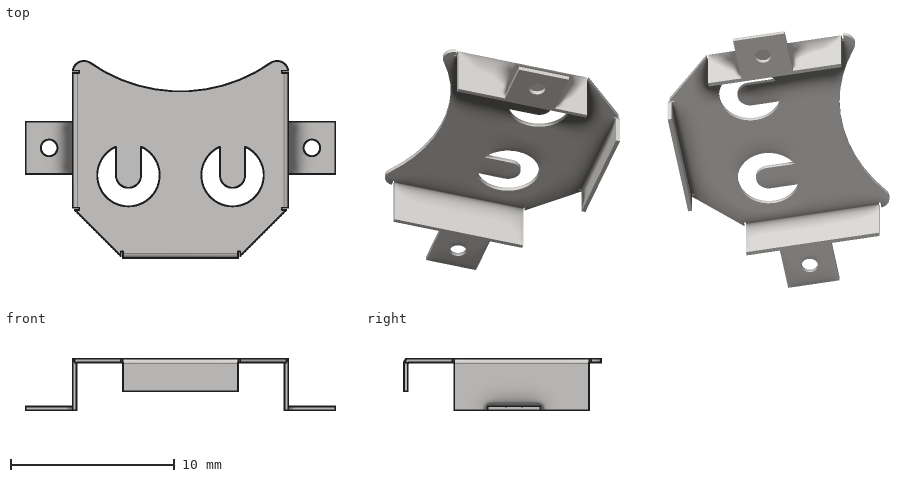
import cadquery as cq
import math


sheet = 0.25
bend_outer_radius = 0.30
bend_inner_radius = bend_outer_radius - sheet
height = 3.17

plate_width = 13.2
half_width = plate_width / 2
plate_depth = 12.06
corner_cut = 3.08
ear_radius = 0.70
valley_y = 10.2

side_flange_start = corner_cut
side_flange_length = 8.25
front_flange_width = plate_width - 2 * corner_cut
front_flange_height = 2.0
relief_width = sheet / 2
relief_depth = 0.4

overall_width = 18.92
tab_length = (overall_width - plate_width) / 2
tab_width = 3.2
tab_center_y = 6.74
tab_hole_diameter = 1.0

window_radius = 1.9
window_x = 3.18
window_y = 5.07
tongue_width = 1.55


def make_plate():
    """Flat top plate with cut front corners, rear ears and a concave rear edge."""
    ear_x = half_width - ear_radius
    ear_y = plate_depth - ear_radius
    rise = ear_y - valley_y
    valley_radius = (ear_x**2 + rise**2 - ear_radius**2) / (2 * (ear_radius + rise))
    valley_center_y = valley_y + valley_radius
    tangent_share = ear_radius / (ear_radius + valley_radius)
    tangent_x = ear_x * (1 - tangent_share)
    tangent_y = ear_y + (valley_center_y - ear_y) * tangent_share

    tangent_angle = math.atan2(tangent_y - ear_y, tangent_x - ear_x)
    ear_mid_x = ear_x + ear_radius * math.cos(tangent_angle / 2)
    ear_mid_y = ear_y + ear_radius * math.sin(tangent_angle / 2)

    return (
        cq.Workplane("XY")
        .workplane(offset=height - sheet)
        .moveTo(front_flange_width / 2, 0)
        .lineTo(half_width, corner_cut)
        .lineTo(half_width, ear_y)
        .threePointArc((ear_mid_x, ear_mid_y), (tangent_x, tangent_y))
        .threePointArc((0, valley_y), (-tangent_x, tangent_y))
        .threePointArc((-ear_mid_x, ear_mid_y), (-half_width, ear_y))
        .lineTo(-half_width, corner_cut)
        .lineTo(-front_flange_width / 2, 0)
        .close()
        .extrude(sheet)
    )


def make_window(x):
    """Cutter for a round window that leaves a tongue pointing to the front."""
    cutter_base = cq.Workplane("XY").workplane(offset=height - sheet)
    disc = cutter_base.center(x, window_y).circle(window_radius).extrude(sheet)
    tongue_end = cutter_base.center(x, window_y).circle(tongue_width / 2).extrude(sheet)
    tongue_body = (
        cutter_base.center(x, window_y + window_radius / 2)
        .rect(tongue_width, window_radius)
        .extrude(sheet)
    )
    return disc.cut(tongue_end).cut(tongue_body)


def make_flange(length, drop):
    """Bend and wall with the outer face on X = 0, running from Y = 0 to Y = length."""
    bottom = height - drop
    bend_z = height - bend_outer_radius
    diagonal = math.sqrt(0.5)
    outer_mid = bend_outer_radius * (1 - diagonal)
    inner_mid_x = bend_outer_radius - bend_inner_radius * diagonal
    inner_mid_z = bend_z + bend_inner_radius * diagonal
    return (
        cq.Workplane("XZ")
        .moveTo(0, bottom)
        .lineTo(0, bend_z)
        .threePointArc((outer_mid, height - outer_mid), (bend_outer_radius, height))
        .lineTo(bend_outer_radius, height - sheet)
        .threePointArc((inner_mid_x, inner_mid_z), (sheet, bend_z))
        .lineTo(sheet, bottom)
        .close()
        .extrude(-length)
    )


def make_bend_clearance(length):
    """Plate material to remove along a bend, with a deeper relief slit at both ends."""
    strip = cq.Workplane("XY").box(bend_outer_radius, length, height, centered=False)
    slit = cq.Workplane("XY").box(relief_depth, relief_width, height, centered=False)
    return (
        strip.union(slit.translate((0, -relief_width, 0)))
        .union(slit.translate((0, length, 0)))
    )


def place_left(body):
    """Move a flange-aligned body to the left edge of the plate."""
    return body.translate((-half_width, side_flange_start, 0))


def place_front(body):
    """Turn a flange-aligned body onto the front edge of the plate."""
    turned = body.rotate((0, 0, 0), (0, 0, 1), 90)
    return turned.translate((front_flange_width / 2, 0, 0))


def make_left_tab():
    """Solder tab reaching outward from the foot of the left wall."""
    tab = cq.Workplane("XY").box(
        tab_length + sheet, tab_width, sheet, centered=(False, True, False)
    )
    hole = cq.Workplane("XY").center(tab_length / 2, 0).circle(tab_hole_diameter / 2).extrude(sheet)
    return tab.cut(hole).translate((-overall_width / 2, tab_center_y, 0))


plate = make_plate()
for side in (-1, 1):
    plate = plate.cut(make_window(side * window_x))

side_clearance = place_left(make_bend_clearance(side_flange_length))
plate = plate.cut(side_clearance).cut(side_clearance.mirror("YZ"))
plate = plate.cut(place_front(make_bend_clearance(front_flange_width)))

left_side = place_left(make_flange(side_flange_length, height)).union(make_left_tab())
front_flange = place_front(make_flange(front_flange_width, front_flange_height))

result = plate.union(left_side).union(left_side.mirror("YZ")).union(front_flange)